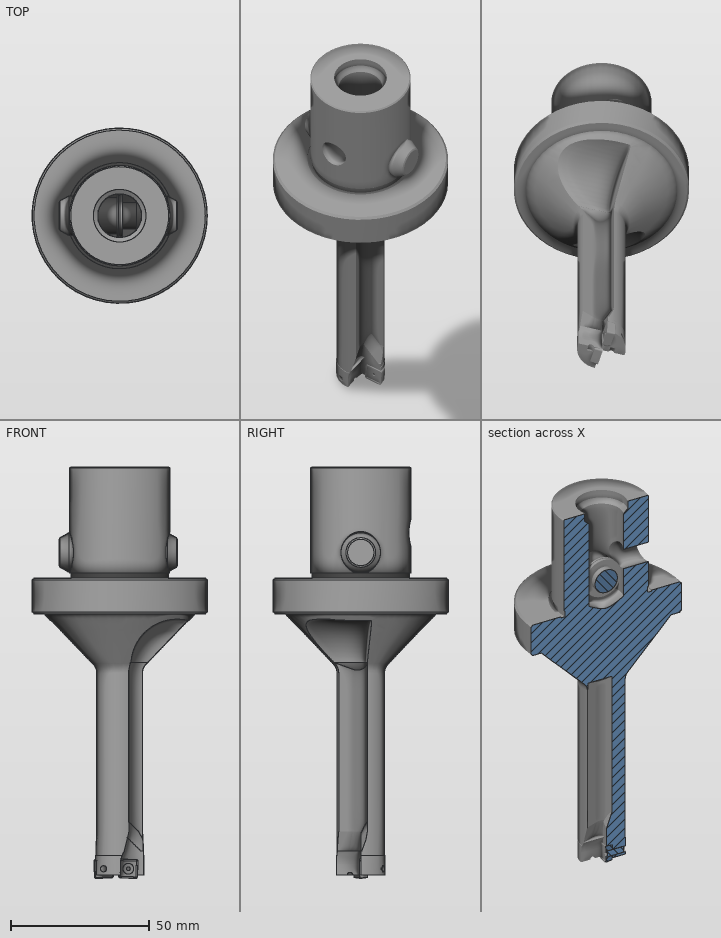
import cadquery as cq
import math


overall_length = 149.0
shank_top = 40.2
insert_tip_z = shank_top - overall_length
head_bottom = -107.6
head_top = -100.5
clear = 1.5

shank_radius = 18.2
shank_chamfer = 0.5
neck_radius = 17.7
neck_height = 1.8
recess_radius = 19.2
recess_depth = 0.5
flange_radius = 31.7
flange_thickness = 13.0
flange_chamfer = 0.7
cone_radius = 27.4
cone_bottom = -32.5
cone_fillet = 4.5

body_radius = 8.6
head_radius = 8.8
reach = head_radius + clear

bore_radius = 7.9
counterbore_radius = 9.5
counterbore_depth = 3.1
bore_bottom = 0.9
side_hole_radius = 5.0
side_hole_z = 16.4
drill_point_angle = 118.0

pin_z = 9.2
pin_radius = 7.2
pin_neck_radius = 6.5
pin_tip_radius = 5.4
pin_tip_angle = 27.0
pin_tip_chamfer = 0.6
pin_hole_mouth = 7.6
pin_hole_chamfer = 0.9
left_pin_end = -21.9
right_pin_end = 20.9
right_pin_face = 6.1
collar_half_width = 1.0
collar_radius = 7.6
collar_groove_x = -0.1
collar_groove_width = 0.6
collar_groove_depth = 0.3
stem_radius = 4.8

floor_x = 3.3
floor_y = 2.4
wall_x = 1.5
wall_y = -2.8
wall_angle = 20.0
flute_top = -30.5
flute_end_x = 4.0

runout_radius = 16.8
runout_x = flute_end_x + runout_radius
runout_z = -31.7
runout_wall_x = 9.0
runout_wall_y = 2.2
runout_wall_angle = 6.5
runout_fillet = 0.7

ramp_start = -85.0
ramp_end = -91.2
pocket_wall_x = 0.3
pocket_round_z = -103.5
pocket_corner = (1.8, -98.8)
pocket_peak = (5.2, -96.7)
bend_z = -91.8
bend_shift_x = -1.5
bend_shift_y = -1.2
bend_drop = 7.0
notch_radius = 1.0
notch_y = -3.9

insert_side = 6.9
insert_corner = 0.7
insert_tilt = 2.0
insert_clearance = 7.0
insert_proud = 0.5
insert_thickness = 3.0
rim_width = 0.6
rim_depth = 0.3
central_insert_x = 3.1
peripheral_insert_x = 5.8
screw_radius = 1.12
screw_head_radius = 2.0
screw_head_height = 0.9
screw_end_gap = 0.5
socket_width = 1.5
socket_depth = 0.6

insert_half_height = (
    (insert_side / 2 - insert_corner)
    * (math.cos(math.radians(insert_tilt)) + math.sin(math.radians(insert_tilt)))
    + insert_corner
)
insert_z = insert_tip_z + insert_half_height

insert_stations = ((central_insert_x, False), (peripheral_insert_x, True))


def opposite(shape):
    """The same shape turned half a turn about the drill axis."""
    return shape.rotate((0, 0, 0), (0, 0, 1), 180)


def prism_along_y(profile, y_start, y_end):
    """Extrude a closed XZ workplane profile from y_start to y_end."""
    return profile.extrude(y_start - y_end).translate((0, y_start, 0))


def revolve_about_x(points):
    """Turn an (x, radius) outline about the cross-pin axis."""
    turned = cq.Workplane("XY").polyline(points).close().revolve(360, (0, 0, 0), (1, 0, 0))
    return turned.translate((0, 0, pin_z))


def turned_blank():
    """Shank, neck, flange, cone, body and head as one turned shape."""
    slope = math.atan2(cone_radius - body_radius, -flange_thickness - cone_bottom)
    tangent = cone_fillet * math.tan(slope / 2)
    fillet_top = (body_radius + tangent * math.sin(slope), cone_bottom + tangent * math.cos(slope))
    fillet_bottom = (body_radius, cone_bottom - tangent)
    return (
        cq.Workplane("XZ")
        .moveTo(0, shank_top)
        .lineTo(shank_radius - shank_chamfer, shank_top)
        .lineTo(shank_radius, shank_top - shank_chamfer)
        .lineTo(shank_radius, neck_height)
        .lineTo(neck_radius, neck_height)
        .lineTo(neck_radius, -recess_depth)
        .lineTo(recess_radius, -recess_depth)
        .lineTo(recess_radius, 0)
        .lineTo(flange_radius - flange_chamfer, 0)
        .lineTo(flange_radius, -flange_chamfer)
        .lineTo(flange_radius, flange_chamfer - flange_thickness)
        .lineTo(flange_radius - flange_chamfer, -flange_thickness)
        .lineTo(cone_radius, -flange_thickness)
        .lineTo(*fillet_top)
        .tangentArcPoint(fillet_bottom, relative=False)
        .lineTo(body_radius, head_top)
        .lineTo(head_radius, head_top)
        .lineTo(head_radius, head_bottom)
        .lineTo(0, head_bottom)
        .close()
        .revolve(360, (0, 0, 0), (0, 1, 0))
    )


def shank_bore():
    """Stepped bore with a conical step and a drill-point bottom."""
    step_z = shank_top - counterbore_depth
    bore_top = step_z - (counterbore_radius - bore_radius)
    point_z = bore_bottom - bore_radius / math.tan(math.radians(drill_point_angle / 2))
    return (
        cq.Workplane("XZ")
        .polyline([
            (0, shank_top + clear),
            (counterbore_radius, shank_top + clear),
            (counterbore_radius, step_z),
            (bore_radius, bore_top),
            (bore_radius, bore_bottom),
            (0, point_z),
        ])
        .close()
        .revolve(360, (0, 0, 0), (0, 1, 0))
    )


def pin_hole():
    """Cross hole for the pins, chamfered at both mouths."""
    end = shank_radius + clear
    mouth_start = shank_radius - pin_hole_chamfer
    return revolve_about_x([
        (-end, 0),
        (-end, pin_hole_mouth),
        (-shank_radius, pin_hole_mouth),
        (-mouth_start, pin_radius),
        (mouth_start, pin_radius),
        (shank_radius, pin_hole_mouth),
        (end, pin_hole_mouth),
        (end, 0),
    ])


def side_hole():
    """Radial hole from the back of the shank into the bore."""
    outline = cq.Workplane("XZ").center(0, side_hole_z).circle(side_hole_radius)
    return prism_along_y(outline, 0, shank_radius + clear)


def flute_section(z):
    """Flute outline across the drill: leaning wall, round and flat floor."""
    lean = math.radians(wall_angle)
    outer_x = wall_x + (reach + wall_y) * math.tan(lean)
    return (
        cq.Workplane("XY", origin=(0, 0, z))
        .moveTo(outer_x, -reach)
        .lineTo(wall_x, wall_y)
        .tangentArcPoint((floor_x, floor_y), relative=False)
        .lineTo(reach, floor_y)
        .lineTo(reach, -reach)
        .close()
    )


def flute():
    """Straight flute with a sloped upper end, bent towards the pocket at its lower end."""
    bottom = head_bottom - clear
    groove = flute_section(bend_z).extrude(flute_top - bend_z)
    side_outline = cq.Workplane("XZ").polyline([
        (0, bottom),
        (reach, bottom),
        (reach, flute_top),
        (flute_end_x, flute_top),
        (0, flute_top - flute_end_x),
    ]).close()
    groove = groove.intersect(prism_along_y(side_outline, -reach, reach))
    bend = cq.Solid.extrudeLinear(
        flute_section(bend_z).val(), [], cq.Vector(bend_shift_x, bend_shift_y, -bend_drop)
    )
    groove = groove.union(cq.Workplane(bend))
    return groove.cut(floor_ramp())


def floor_ramp():
    """Wedge that lifts the flute floor to the pocket floor along a 45 degree line in XZ."""
    start = ramp_start / math.sqrt(2)
    end = ramp_end / math.sqrt(2)
    far = end - 2 * reach
    along = cq.Plane(origin=(0, 0, 0), xDir=(1, 0, 1), normal=(1, 0, -1))
    y_up = along.yDir.y
    outline = [(start, floor_y), (end, 0), (far, 0), (far, floor_y + clear), (start, floor_y + clear)]
    return (
        cq.Workplane(along)
        .polyline([(s, y * y_up) for s, y in outline])
        .close()
        .extrude(2 * overall_length, both=True)
    )


def runout():
    """Round-bottomed runout that carries the flute out through the cone."""
    cutter = prism_along_y(
        cq.Workplane("XZ").center(runout_x, runout_z).circle(runout_radius), -2 * cone_radius, cone_radius
    )
    half_space = (
        cq.Workplane("XY")
        .box(4 * cone_radius, 2 * cone_radius, 4 * cone_radius)
        .translate((0, -cone_radius, 0))
        .rotate((0, 0, 0), (0, 0, 1), runout_wall_angle)
        .translate((runout_wall_x, runout_wall_y, runout_z))
    )
    return cutter.intersect(half_space).faces(">Y").edges().fillet(runout_fillet)


def insert_pocket():
    """Flat pocket with a rounded wall and a notch at the foot of that wall."""
    bottom = head_bottom - clear
    corner_x, corner_z = pocket_corner
    outline = (
        cq.Workplane("XZ")
        .moveTo(pocket_wall_x, bottom)
        .lineTo(pocket_wall_x, pocket_round_z)
        .tangentArcPoint((corner_x, corner_z), relative=False)
        .lineTo(*pocket_peak)
        .lineTo(reach, pocket_peak[1])
        .lineTo(reach, bottom)
        .close()
    )
    pocket = prism_along_y(outline, -reach, 0)
    notch = (
        cq.Workplane("YZ", origin=(pocket_wall_x, 0, 0))
        .center(notch_y, head_bottom)
        .circle(notch_radius)
        .extrude(2 * notch_radius, both=True)
    )
    return pocket.union(notch)


def insert_blank(center_x):
    """Square insert with rounded corners whose sides taper in behind the face."""
    return (
        cq.Workplane("XZ", origin=(center_x, -insert_proud, insert_z))
        .transformed(rotate=(0, 0, -insert_tilt))
        .sketch()
        .rect(insert_side, insert_side)
        .vertices()
        .fillet(insert_corner)
        .finalize()
        .extrude(-insert_thickness, taper=insert_clearance)
    )


def screw_blank(center_x):
    """Countersunk screw along Y, ending just inside the drill surface."""
    end_y = math.sqrt(head_radius**2 - (center_x + screw_radius) ** 2) - screw_end_gap
    face_y = rim_depth - insert_proud
    outline = [
        (0, face_y),
        (screw_head_radius, face_y),
        (screw_radius, face_y + screw_head_height),
        (screw_radius, end_y),
        (0, end_y),
    ]
    turned = cq.Workplane("XY").polyline(outline).close().revolve(360, (0, 0, 0), (0, 1, 0))
    return turned.translate((center_x, 0, insert_z))


def screw_hole(center_x):
    """Through hole in the drill for an insert screw."""
    outline = cq.Workplane("XZ").center(center_x, insert_z).circle(screw_radius)
    return prism_along_y(outline, 0, reach)


def cutting_insert(center_x):
    """Insert with a sunken face inside a cutting rim and a seat for its screw."""
    inner_side = insert_side - 2 * rim_width
    sunken_face = (
        cq.Workplane("XZ", origin=(center_x, -insert_proud, insert_z))
        .transformed(rotate=(0, 0, -insert_tilt))
        .rect(inner_side, inner_side)
        .extrude(-rim_depth)
    )
    return insert_blank(center_x).cut(sunken_face).cut(screw_blank(center_x))


def insert_screw(center_x):
    """Insert screw with a hexagonal socket."""
    socket = cq.Workplane("XZ").center(center_x, insert_z).polygon(6, socket_width)
    face_y = rim_depth - insert_proud
    return screw_blank(center_x).cut(prism_along_y(socket, face_y, face_y + socket_depth))


def drill_holder():
    """Drill body with both flutes, pockets, seats, the bore and the cross hole."""
    holder = turned_blank().cut(shank_bore()).cut(pin_hole()).cut(side_hole())
    for center_x, turn in insert_stations:
        for cutter in (
            flute(), runout(), insert_pocket(), insert_blank(center_x), screw_hole(center_x)
        ):
            holder = holder.cut(opposite(cutter) if turn else cutter)
    return holder


def clamp_pin(inner_x, neck_end, outer_x):
    """Clamp pin with a thinner neck inside the bore and a conical, chamfered tip."""
    side = math.copysign(1, outer_x)
    cone_length = (pin_radius - pin_tip_radius) / math.tan(math.radians(pin_tip_angle))
    return revolve_about_x([
        (inner_x, 0),
        (inner_x, pin_neck_radius),
        (neck_end, pin_neck_radius),
        (neck_end, pin_radius),
        (outer_x - side * cone_length, pin_radius),
        (outer_x - side * pin_tip_chamfer / 2, pin_tip_radius),
        (outer_x, pin_tip_radius - pin_tip_chamfer),
        (outer_x, 0),
    ])


def pin_stem():
    """Stem that joins the two clamp pins."""
    return revolve_about_x([
        (-collar_half_width, 0),
        (-collar_half_width, stem_radius),
        (right_pin_face, stem_radius),
        (right_pin_face, 0),
    ])


def pin_collar():
    """Grooved ring on the stem, against the left clamp pin."""
    groove_start = collar_groove_x - collar_groove_width / 2
    groove_end = collar_groove_x + collar_groove_width / 2
    groove_bottom = collar_radius - collar_groove_depth
    return revolve_about_x([
        (-collar_half_width, stem_radius),
        (-collar_half_width, collar_radius),
        (groove_start, collar_radius),
        (groove_start, groove_bottom),
        (groove_end, groove_bottom),
        (groove_end, collar_radius),
        (collar_half_width, collar_radius),
        (collar_half_width, stem_radius),
    ])


holder = drill_holder()
left_pin = clamp_pin(-collar_half_width, -bore_radius, left_pin_end)
right_pin = clamp_pin(right_pin_face, bore_radius, right_pin_end)
stem = pin_stem()
collar = pin_collar()

inserts = []
screws = []
for center_x, turn in insert_stations:
    insert = cutting_insert(center_x)
    screw = insert_screw(center_x)
    inserts.append(opposite(insert) if turn else insert)
    screws.append(opposite(screw) if turn else screw)

result = cq.Compound.makeCompound([
    holder.val(),
    *[insert.val() for insert in inserts],
    *[screw.val() for screw in screws],
    left_pin.val(),
    right_pin.val(),
    stem.val(),
    collar.val(),
])